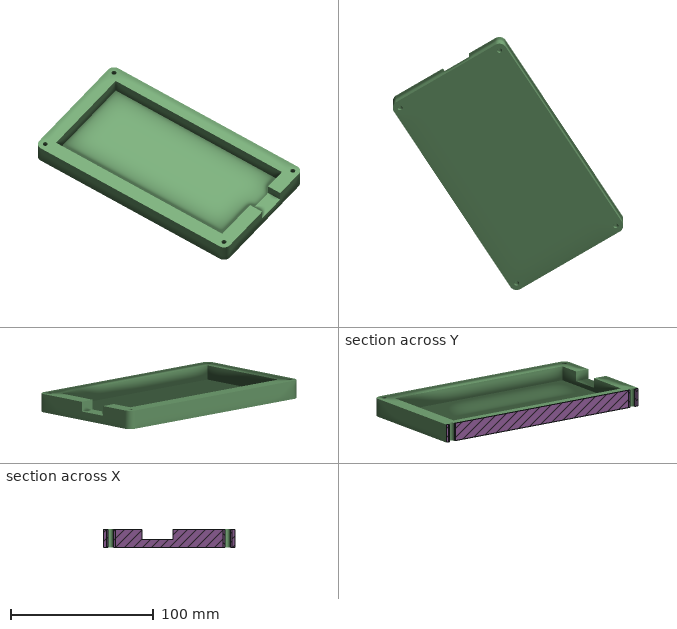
import cadquery as cq

LENGTH = 165.0
WIDTH = 92.0
HEIGHT = 13.0
CORNER_RADIUS = 5.1

RIM = 10.5
FLOOR = 3.0

NOTCH_WIDTH = 21.5
NOTCH_CENTER_Y = 8.2
NOTCH_DEPTH = 7.0

SLEEVE_DIAMETER = 6.0
BORE_DIAMETER = 3.5
SLEEVE_LENGTH = HEIGHT

SLEEVE_X = LENGTH / 2 - CORNER_RADIUS
SLEEVE_Y = WIDTH / 2 - CORNER_RADIUS
SLEEVE_POSITIONS = [(sx * SLEEVE_X, sy * SLEEVE_Y) for sx in (-1, 1) for sy in (-1, 1)]


def block():
    """Outer block with rounded vertical corners."""
    return (
        cq.Workplane("XY")
        .rect(LENGTH, WIDTH)
        .extrude(HEIGHT)
        .edges("|Z")
        .fillet(CORNER_RADIUS)
    )


def pocket():
    """Volume removed to open the pocket from above."""
    return (
        cq.Workplane("XY", origin=(0, 0, FLOOR))
        .rect(LENGTH - 2 * RIM, WIDTH - 2 * RIM)
        .extrude(HEIGHT - FLOOR)
    )


def notch():
    """Volume removed to cut the notch across the +X rim."""
    center_x = LENGTH / 2 - RIM / 2
    return (
        cq.Workplane("XY", origin=(center_x, NOTCH_CENTER_Y, HEIGHT - NOTCH_DEPTH))
        .rect(RIM, NOTCH_WIDTH)
        .extrude(NOTCH_DEPTH)
    )


def sleeve_seats():
    """Holes through the corners that hold the sleeves."""
    return (
        cq.Workplane("XY")
        .pushPoints(SLEEVE_POSITIONS)
        .circle(SLEEVE_DIAMETER / 2)
        .extrude(SLEEVE_LENGTH)
    )


def make_housing():
    """Shallow tray with a notched rim and a sleeve seat at each corner."""
    return block().cut(pocket()).cut(notch()).cut(sleeve_seats())


def make_sleeve(x, y):
    """Plain tube, flush with the top and bottom of the housing."""
    return (
        cq.Workplane("XY", origin=(x, y, 0))
        .circle(SLEEVE_DIAMETER / 2)
        .circle(BORE_DIAMETER / 2)
        .extrude(SLEEVE_LENGTH)
    )


housing = make_housing()
sleeves = [make_sleeve(x, y) for x, y in SLEEVE_POSITIONS]

result = cq.Compound.makeCompound([housing.val(), *[sleeve.val() for sleeve in sleeves]])